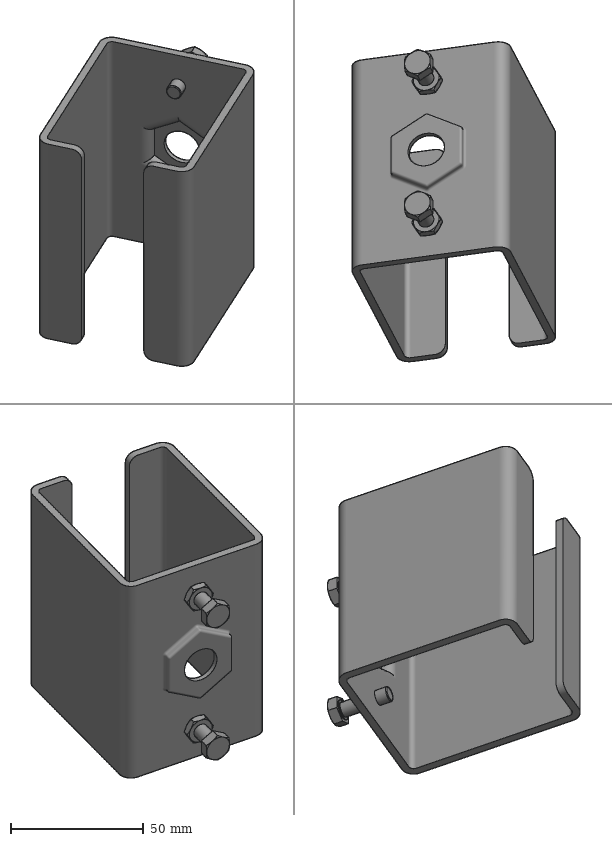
import cadquery as cq
import math

CHANNEL_WIDTH = 62.0
CHANNEL_DEPTH = 75.0
CHANNEL_HEIGHT = 90.0
SHEET = 3.0
BEND_INNER_RADIUS = 2.0
BEND_OUTER_RADIUS = BEND_INNER_RADIUS + SHEET
MOUTH_WIDTH = 25.0
LIP_CORNER_RADIUS = 4.0

CAVITY_FLATS = 22.0
EMBOSS_FLATS = CAVITY_FLATS + 2 * SHEET
EMBOSS_HEIGHT = 3.0
EMBOSS_EDGE_RADIUS = 1.0
CAVITY_MOUTH_RADIUS = EMBOSS_EDGE_RADIUS + SHEET
BORE_DIAMETER = 14.2

BOLT_OFFSET = 31.0
BOLT_DIAMETER = 6.0
BOLT_LENGTH = 20.0
BOLT_TIP_CHAMFER = 0.4
HEX_FLATS = 10.0
HEAD_HEIGHT = 4.0
NUT_HEIGHT = 3.0
COLLAR_DIAMETER = 8.0
COLLAR_HEIGHT = 0.4
CORNER_CUT_DIAMETER = HEX_FLATS
CORNER_CUT_ANGLE = 30.0

COS_30 = math.cos(math.radians(30))

OVERALL_DEPTH = 91.0
BACK_INNER = CHANNEL_DEPTH - SHEET
BACK_OUTER = CHANNEL_DEPTH
HEAD_BASE = OVERALL_DEPTH - HEAD_HEIGHT


def plane_facing_back(y):
    """Workplane at the given Y, facing +Y, with its local x along +X."""
    return cq.Workplane(cq.Plane(origin=(0, y, 0), xDir=(1, 0, 0), normal=(0, 1, 0)))


def make_channel():
    """Folded channel with rounded corners on the free edges of both lips."""
    outer = (
        cq.Workplane("XY")
        .box(CHANNEL_WIDTH, CHANNEL_DEPTH, CHANNEL_HEIGHT)
        .edges("|Z")
        .fillet(BEND_OUTER_RADIUS)
    )
    inner = (
        cq.Workplane("XY")
        .box(CHANNEL_WIDTH - 2 * SHEET, CHANNEL_DEPTH - 2 * SHEET, CHANNEL_HEIGHT)
        .edges("|Z")
        .fillet(BEND_INNER_RADIUS)
    )
    mouth = cq.Workplane("XY").box(MOUTH_WIDTH, 2 * SHEET, CHANNEL_HEIGHT)
    tube = outer.cut(inner).translate((0, CHANNEL_DEPTH / 2, 0))
    lip_free_edges = cq.selectors.BoxSelector(
        (-MOUTH_WIDTH / 2 - SHEET / 2, -SHEET, -CHANNEL_HEIGHT),
        (MOUTH_WIDTH / 2 + SHEET / 2, 2 * SHEET, CHANNEL_HEIGHT),
    )
    return tube.cut(mouth).edges("|Y").edges(lip_free_edges).fillet(LIP_CORNER_RADIUS)


def add_emboss(channel):
    """Raise a hexagon from the back wall, with corners at +Z and -Z and every edge rounded."""
    hexagon = (
        plane_facing_back(BACK_INNER)
        .polygon(6, EMBOSS_FLATS / COS_30)
        .extrude(SHEET + EMBOSS_HEIGHT)
        .rotate((0, 0, 0), (0, 1, 0), 30)
        .edges("|Y")
        .fillet(EMBOSS_EDGE_RADIUS)
        .faces(">Y")
        .edges()
        .fillet(EMBOSS_EDGE_RADIUS)
    )
    half_span = EMBOSS_FLATS / 2 / COS_30 + EMBOSS_EDGE_RADIUS
    base_outline = cq.selectors.BoxSelector(
        (-half_span, BACK_OUTER - SHEET / 4, -half_span),
        (half_span, BACK_OUTER + EMBOSS_EDGE_RADIUS / 4, half_span),
    )
    return channel.union(hexagon).edges(base_outline).fillet(EMBOSS_EDGE_RADIUS)


def make_cavity():
    """Hexagonal recess in the inner face: a flared trough repeated in three directions, meeting in mitres."""
    floor_half = CAVITY_FLATS / 2
    mouth_half = floor_half + CAVITY_MOUTH_RADIUS
    floor = BACK_INNER + CAVITY_MOUTH_RADIUS
    arc_offset = CAVITY_MOUTH_RADIUS * math.sqrt(0.5)
    arc_half = mouth_half - arc_offset
    arc_height = floor - arc_offset
    trough = (
        cq.Workplane("XY")
        .moveTo(-mouth_half, BACK_INNER)
        .lineTo(mouth_half, BACK_INNER)
        .threePointArc((arc_half, arc_height), (floor_half, floor))
        .lineTo(-floor_half, floor)
        .threePointArc((-arc_half, arc_height), (-mouth_half, BACK_INNER))
        .close()
        .extrude(CHANNEL_WIDTH / 2, both=True)
    )
    cavity = trough
    for angle in (60, 120):
        cavity = cavity.intersect(trough.rotate((0, 0, 0), (0, 1, 0), angle))
    return cavity


def make_hexagon(y, height, turn, cut_both_ends):
    """Hexagonal prism from y towards +Y, its corners cut conically at the far end or at both ends."""
    corner_radius = HEX_FLATS / 2 / COS_30
    rim_radius = CORNER_CUT_DIAMETER / 2
    cut_depth = (corner_radius - rim_radius) * math.tan(math.radians(CORNER_CUT_ANGLE))
    far = y + height
    start = [(corner_radius, y)]
    if cut_both_ends:
        start = [(rim_radius, y), (corner_radius, y + cut_depth)]
    turned_blank = (
        cq.Workplane("XY")
        .polyline([(0, y), *start, (corner_radius, far - cut_depth), (rim_radius, far), (0, far)])
        .close()
        .revolve(360, (0, 0, 0), (0, 1, 0))
    )
    prism = plane_facing_back(y).polygon(6, 2 * corner_radius).extrude(height)
    return prism.rotate((0, 0, 0), (0, 1, 0), turn).intersect(turned_blank)


def make_bolt_with_nut():
    """Bolt along Y with its head outside; the head has corners at +Z and -Z, the nut at +X and -X."""
    head = make_hexagon(HEAD_BASE, HEAD_HEIGHT, turn=30, cut_both_ends=False)
    collar = plane_facing_back(HEAD_BASE - COLLAR_HEIGHT).circle(COLLAR_DIAMETER / 2).extrude(COLLAR_HEIGHT)
    shank = (
        plane_facing_back(HEAD_BASE - BOLT_LENGTH)
        .circle(BOLT_DIAMETER / 2)
        .extrude(BOLT_LENGTH)
        .faces("<Y")
        .chamfer(BOLT_TIP_CHAMFER)
    )
    nut = make_hexagon(BACK_OUTER, NUT_HEIGHT, turn=0, cut_both_ends=True)
    return head.union(collar).union(shank).union(nut)


bore = plane_facing_back(BACK_INNER).circle(BORE_DIAMETER / 2).extrude(SHEET + EMBOSS_HEIGHT)
result = add_emboss(make_channel()).cut(make_cavity()).cut(bore)

bolt_with_nut = make_bolt_with_nut()
for z in (-BOLT_OFFSET, BOLT_OFFSET):
    result = result.union(bolt_with_nut.translate((0, 0, z)))